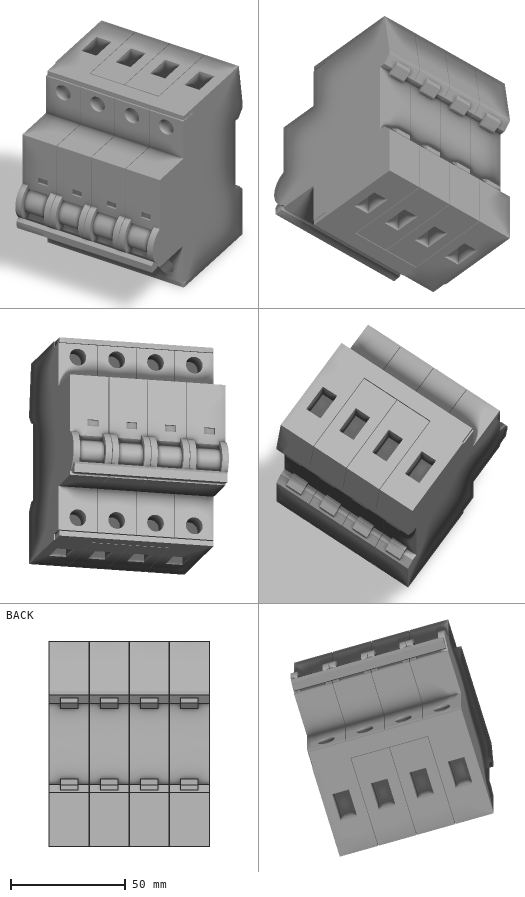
import cadquery as cq


poles = 4
total_width = 70.2
height = 89.8
total_depth = 76.15
pole_width = total_width / poles
seam_width = 0.3
seam_depth = 0.9

shoulder_depth = 50.2
nose_depth = 70.1
nose_top = 67.7
nose_bottom = 22.3
top_back_depth = 3.3
back_slope_end = 67.9
upper_back_end = 66.4
lower_back_end = 23.7
rail_depth = 6.3
rail_lead_depth = 3.5
rail_top = 62.7
rail_bottom = 27.2

clip_inset = 4.9
clip_depth = 0.7
clip_tip_depth = 4.7
clip_outer_step = 2.4
clip_rim_reach = 0.2
clip_tip_reach = 2.3

strip_back = 42.2
strip_front = 49.8
strip_height = 2.25
strip_gap = 0.4
strip_inset = 0.5

screw_hole_diameter = 7.5
screw_hole_depth = 9.0
screw_hole_edge = 8.5
wire_pocket_width = 7.6
wire_pocket_back = 15.7
wire_pocket_front = 28.5
wire_pocket_depth = 9.9
window_width = 4.85
window_height = 3.0
window_offset = 10.3
window_bottom = 44.9
window_depth = 1.0

toggle_height = 33.05
ring_radius = 9.9
ring_width = 3.0
ring_center_depth = total_depth - ring_radius
drum_width = pole_width - 2 * ring_width
drum_radius = 5.8
drum_center_depth = 67.4
groove_top = 40.4
groove_bottom = 24.8
groove_depth = 2.0
bar_inset = 0.5
bar_front = 76.1
bar_top = 27.2
bar_ridge_depth = 74.6
bar_slope_end = 25.9
bar_bottom = 22.2
bar_bottom_front = 75.7
bar_bottom_back = 71.8
bar_heel_rise = 0.4
bar_back = 71.1
bar_back_height = 23.9
bar_bend_depth = 72.6
bar_bend_height = 25.8


def side_wire(outline, x_start):
    """Closed (depth, z) outline placed at an X position."""
    points = [(-depth, z) for depth, z in outline]
    return cq.Workplane("YZ", origin=(x_start, 0, 0)).polyline(points).close()


def prism(outline, x_start, width):
    """Extrude a closed (depth, z) outline along +X."""
    return side_wire(outline, x_start).extrude(width)


def block(x_start, width, back, front, bottom, top):
    """Box given by its X start and width, its depth range and its Z range."""
    return prism([(back, bottom), (front, bottom), (front, top), (back, top)], x_start, width)


def cylinder_x(radius, center_depth, x_start, width):
    """Cylinder along X at the toggle height."""
    plane = cq.Workplane("YZ", origin=(x_start, 0, 0))
    return plane.center(-center_depth, toggle_height).circle(radius).extrude(width)


def with_mirror(shape):
    """Add the copy of a shape mirrored about mid height."""
    return shape.union(shape.mirror("XY", (0, 0, height / 2)))


housing_outline = [
    (0, 0),
    (shoulder_depth, 0),
    (shoulder_depth, nose_bottom),
    (nose_depth, nose_bottom),
    (nose_depth, nose_top),
    (shoulder_depth, nose_top),
    (shoulder_depth, height),
    (top_back_depth, height),
    (0, back_slope_end),
    (0, upper_back_end),
    (rail_lead_depth, rail_top),
    (rail_depth, rail_top),
    (rail_depth, rail_bottom),
    (rail_lead_depth, rail_bottom),
    (0, lower_back_end),
]


def make_pole_seams():
    """Narrow slots between the poles, cut everywhere outside a core that lies below the surface."""
    core = side_wire(housing_outline, 0).offset2D(-seam_depth, "intersection").extrude(total_width)
    seams = cq.Workplane()
    for pole in range(1, poles):
        seam_start = pole * pole_width - seam_width / 2
        seams = seams.union(block(seam_start, seam_width, 0, total_depth, 0, height))
    return seams.cut(core)


def make_strip_recesses():
    """Rebates for the cover strips; the two middle poles leave a gap behind the strip."""
    depth = strip_height + strip_gap
    recess = block(0, total_width, strip_back, shoulder_depth, height - depth, height)
    middle_width = (poles - 2) * pole_width
    recess = recess.union(
        block(pole_width, middle_width, strip_back - strip_gap, strip_back, height - depth, height)
    )
    return with_mirror(recess)


def make_strips():
    """Cover strips, each joined to the housing at the back of its rebate."""
    width = total_width - strip_inset
    strip = block(strip_inset, width, strip_back, strip_front, height - strip_height, height)
    return with_mirror(strip)


def make_pole_openings(x_start):
    """Screw holes, wire pockets and the indicator window of one pole."""
    x_middle = x_start + pole_width / 2
    hole_plane = cq.Workplane("XZ", origin=(x_middle, -shoulder_depth, height - screw_hole_edge))
    screw_hole = hole_plane.circle(screw_hole_diameter / 2).extrude(-screw_hole_depth)
    wire_pocket = block(
        x_middle - wire_pocket_width / 2,
        wire_pocket_width,
        wire_pocket_back,
        wire_pocket_front,
        height - wire_pocket_depth,
        height,
    )
    window = block(
        x_start + window_offset - window_width / 2,
        window_width,
        nose_depth - window_depth,
        nose_depth,
        window_bottom,
        window_bottom + window_height,
    )
    return with_mirror(screw_hole.union(wire_pocket)).union(window)


def make_drum_groove(x_start):
    """Groove around the drum, with walls above and below that slope in towards the drum."""
    inner_depth = nose_depth - groove_depth
    outline = [
        (nose_depth, groove_top),
        (inner_depth, toggle_height + drum_radius),
        (inner_depth, toggle_height - drum_radius),
        (nose_depth, groove_bottom),
    ]
    return prism(outline, x_start + ring_width, drum_width)


def make_toggle(x_start):
    """Drum of one pole with a ring at each end."""
    drum_start = x_start + ring_width
    toggle = cylinder_x(drum_radius, drum_center_depth, drum_start, drum_width)
    for ring_start in (x_start, drum_start + drum_width):
        toggle = toggle.union(cylinder_x(ring_radius, ring_center_depth, ring_start, ring_width))
    return toggle


def make_bar():
    """Handle bar below the rings, with its bent rear side running into them."""
    outline = [
        (bar_back, bar_back_height),
        (bar_bottom_back, bar_bottom + bar_heel_rise),
        (bar_bottom_front, bar_bottom),
        (bar_front, bar_slope_end),
        (bar_ridge_depth, bar_top),
        (bar_bend_depth, bar_bend_height),
    ]
    return prism(outline, bar_inset, total_width - 2 * bar_inset)


def make_clips(x_start):
    """Upper and lower rail clips of one pole."""
    width = pole_width - 2 * clip_inset
    upper = [
        (clip_depth, rail_top + clip_outer_step),
        (clip_depth, rail_top + clip_rim_reach),
        (clip_tip_depth, rail_top - clip_tip_reach),
        (rail_depth, rail_top - clip_tip_reach),
        (rail_depth, rail_top + clip_outer_step),
    ]
    lower = [(depth, rail_top + rail_bottom - z) for depth, z in upper]
    return prism(upper, x_start + clip_inset, width).union(prism(lower, x_start + clip_inset, width))


result = prism(housing_outline, 0, total_width)
for pole in range(poles):
    pole_start = pole * pole_width
    result = result.cut(make_pole_openings(pole_start)).cut(make_drum_groove(pole_start))
    result = result.union(make_toggle(pole_start))
result = result.cut(make_pole_seams()).cut(make_strip_recesses())
result = result.union(make_strips()).union(make_bar())
for pole in range(poles):
    result = result.union(make_clips(pole * pole_width))